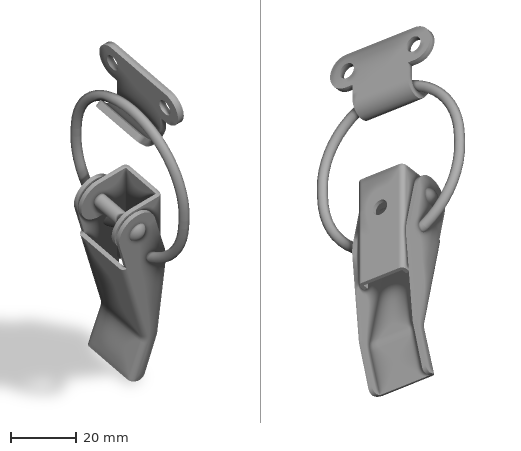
import cadquery as cq
import math


SIDE_PLANE = cq.Plane(origin=(0, 0, 0), xDir=(0, -1, 0), normal=(-1, 0, 0))

sheet = 1.5
bend_radius = 1.7
inner_bend_radius = bend_radius - sheet

pivot_depth = 11.8
pivot_z = 65.1
ear_radius = 7.2

rivet_diameter = 4.6
rivet_head_diameter = 6.3
rivet_head_height = 1.8

base_width = 17.4
base_bottom = 34.0
base_top = pivot_z + ear_radius
base_wall_depth = 3.6
base_throat_radius = 3.6
base_hole_diameter = 5.3
base_hole_z = 59.2

lever_width = 21.7
lever_lean = math.radians(13.5)
handle_kick = math.radians(20.4)
plate_top_drop = 11.9
knee_drop = 48.6
handle_length = 15.7
handle_width = 5.1
belly_depth = 0.2
belly_z = 48.2
belly_radius = 14.5
heel_depth = 4.0
heel_z = 15.8
knee_radius = 3.6
toe_radius = 2.2

wire_diameter = 3.4
loop_radius = 25.8
loop_straight = 3.3
loop_center_z = 79.0
loop_center_depth = 5.7
loop_tilt = 2.2
lower_radius = 27.8
lower_sweep = math.radians(60)
elbow_radius = 3.6
tail_length = 6.3

catch_thickness = 2.3
catch_top = 120.5
catch_height = 12.0
catch_width = 37.7
catch_hole_spacing = 25.1
catch_hole_diameter = 5.3
hook_width = 20.8
hook_radius = 4.8
hook_bottom = 98.5
lip_angle = math.radians(51)
lip_tip_depth = 11.5
lip_corner_radius = 1.8


def polar(center, radius, angle):
    return (center[0] + radius * math.cos(angle), center[1] + radius * math.sin(angle))


def shifted(point, distance, direction):
    return (point[0] + distance * direction[0], point[1] + distance * direction[1])


def mirrored(point):
    return (-point[0], point[1])


def edge_at(x, point):
    """Selector for the edge nearest to a (depth, z) point at a given x."""
    return cq.selectors.NearestToPointSelector((x, -point[0], point[1]))


def side_extrude(profile, width):
    return profile.extrude(width / 2, both=True)


pivot = (pivot_depth, pivot_z)


def make_rivet():
    half_length = lever_width / 2
    end = half_length + rivet_head_height
    shank_radius = rivet_diameter / 2
    head_radius = rivet_head_diameter / 2
    dome_radius = (head_radius**2 + rivet_head_height**2) / (2 * rivet_head_height)
    dome_center = (end - dome_radius, 0)
    dome_middle = polar(dome_center, dome_radius, math.asin(head_radius / dome_radius) / 2)
    section = (
        cq.Workplane("XY")
        .moveTo(*mirrored((end, 0)))
        .threePointArc(mirrored(dome_middle), mirrored((half_length, head_radius)))
        .lineTo(-half_length, shank_radius)
        .lineTo(half_length, shank_radius)
        .lineTo(half_length, head_radius)
        .threePointArc(dome_middle, (end, 0))
        .close()
    )
    return section.revolve(360, (0, 0, 0), (1, 0, 0)).translate((0, -pivot_depth, pivot_z))


def make_base(rivet):
    ear_bottom = pivot_z - ear_radius
    throat_center = (base_wall_depth + base_throat_radius, ear_bottom - base_throat_radius)
    profile = (
        cq.Workplane(SIDE_PLANE)
        .moveTo(0, base_bottom)
        .lineTo(0, base_top)
        .lineTo(pivot_depth, base_top)
        .threePointArc((pivot_depth + ear_radius, pivot_z), (pivot_depth, ear_bottom))
        .lineTo(throat_center[0], ear_bottom)
        .threePointArc(
            polar(throat_center, base_throat_radius, math.radians(135)),
            (base_wall_depth, throat_center[1]),
        )
        .lineTo(base_wall_depth, base_bottom)
        .close()
    )
    base = side_extrude(profile, base_width).edges("|Z and >Y").fillet(bend_radius)
    channel = (
        cq.Workplane("XY")
        .box(base_width - 2 * sheet, 2 * pivot_depth, base_top - base_bottom, centered=(True, False, False))
        .edges("|Z and >Y")
        .fillet(inner_bend_radius)
        .translate((0, -sheet - 2 * pivot_depth, base_bottom))
    )
    screw_hole = (
        cq.Workplane("XZ").center(0, base_hole_z).circle(base_hole_diameter / 2).extrude(2 * sheet)
    )
    return base.cut(channel).cut(screw_hole).cut(rivet)


def make_lever(rivet, loop):
    down_plate = (-math.sin(lever_lean), -math.cos(lever_lean))
    plate_normal = (math.cos(lever_lean), -math.sin(lever_lean))
    down_handle = (math.sin(handle_kick), -math.cos(handle_kick))
    handle_normal = (math.cos(handle_kick), math.sin(handle_kick))

    ear_front = shifted(pivot, ear_radius, plate_normal)
    ear_foot = shifted(ear_front, plate_top_drop, down_plate)
    plate_top = shifted(ear_foot, sheet, plate_normal)
    knee = shifted(shifted(ear_front, sheet, plate_normal), knee_drop, down_plate)
    tip = shifted(knee, handle_length, down_handle)

    toe = shifted(tip, -handle_width, handle_normal)
    heel = (heel_depth, heel_z)
    belly = (belly_depth, belly_z)
    to_belly = math.atan2(belly_z - pivot_z, belly_depth - pivot_depth)
    belly_distance = math.hypot(belly_z - pivot_z, belly_depth - pivot_depth)
    ear_back = polar(pivot, ear_radius, to_belly - math.acos(ear_radius / belly_distance))

    profile = (
        cq.Workplane(SIDE_PLANE)
        .moveTo(*belly)
        .lineTo(*ear_back)
        .threePointArc((pivot_depth, pivot_z + ear_radius), ear_front)
        .lineTo(*ear_foot)
        .lineTo(*plate_top)
        .lineTo(*knee)
        .lineTo(*tip)
        .lineTo(*toe)
        .lineTo(*heel)
        .close()
    )
    lever = side_extrude(profile, lever_width)
    for corner, radius in ((belly, belly_radius), (toe, toe_radius), (knee, knee_radius)):
        lever = lever.edges(edge_at(0, corner)).fillet(radius)

    plate_middle = shifted(plate_top, (knee_drop - plate_top_drop) / 2, down_plate)
    for x in (-lever_width / 2, lever_width / 2):
        bend_edge = edge_at(x, plate_middle)
        lever = lever.edges(bend_edge).fillet(bend_radius)

    knee_offset = -sheet / (1 + math.cos(lever_lean + handle_kick))
    inner_knee = shifted(shifted(knee, knee_offset, plate_normal), knee_offset, handle_normal)
    above = shifted(inner_knee, 2 * knee_drop, (-down_plate[0], -down_plate[1]))
    below = shifted(inner_knee, 2 * handle_length, down_handle)
    hollow = side_extrude(
        cq.Workplane(SIDE_PLANE).polyline(
            [above, inner_knee, below, (-pivot_depth, below[1]), (-pivot_depth, above[1])]
        ).close(),
        lever_width - 2 * sheet,
    )
    hollow = hollow.edges(edge_at(0, inner_knee))
    hollow = hollow.fillet(knee_radius + sheet)
    return lever.cut(hollow).cut(rivet).cut(loop)


def make_loop():
    plane = cq.Plane(origin=(0, -loop_center_depth, loop_center_z), xDir=(1, 0, 0), normal=(0, -1, 0))
    plane = plane.rotated((-loop_tilt, 0, 0))

    lower_center = (loop_radius - lower_radius, -loop_straight)
    lower_middle = polar(lower_center, lower_radius, -lower_sweep / 2)
    lower_end = polar(lower_center, lower_radius, -lower_sweep)
    elbow_center = polar(lower_end, elbow_radius, math.pi - lower_sweep)
    elbow_middle = (elbow_center[0], elbow_center[1] - elbow_radius)
    elbow_end = (2 * elbow_center[0] - lower_end[0], lower_end[1])
    tail_end = polar(elbow_end, tail_length, math.pi / 2 + lower_sweep)

    path = (
        cq.Workplane(plane)
        .moveTo(*tail_end)
        .lineTo(*elbow_end)
        .threePointArc(elbow_middle, lower_end)
        .threePointArc(lower_middle, (loop_radius, -loop_straight))
        .lineTo(loop_radius, 0)
        .threePointArc((0, loop_radius), (-loop_radius, 0))
        .lineTo(-loop_radius, -loop_straight)
        .threePointArc(mirrored(lower_middle), mirrored(lower_end))
        .threePointArc(mirrored(elbow_middle), mirrored(elbow_end))
        .lineTo(*mirrored(tail_end))
    )
    start = plane.toWorldCoords(tail_end)
    heading = plane.toWorldCoords(elbow_end) - start
    section = cq.Workplane(cq.Plane(origin=start, normal=heading)).circle(wire_diameter / 2)
    return section.sweep(path)


def make_catch():
    end_radius = catch_height / 2
    hole_z = catch_top - end_radius
    plate = (
        cq.Workplane("XZ")
        .center(0, hole_z)
        .slot2D(catch_width, catch_height)
        .extrude(catch_thickness)
    )
    holes = (
        cq.Workplane("XZ")
        .center(0, hole_z)
        .rarray(catch_hole_spacing, 1.2, 2, 1)
        .circle(catch_hole_diameter / 2)
        .extrude(catch_thickness)
    )

    bend = (hook_radius, hook_bottom + hook_radius)
    inner_radius = hook_radius - catch_thickness
    lip_start = lip_angle - math.pi / 2
    bend_middle = (lip_start - math.pi) / 2
    outer_lip = polar(bend, hook_radius, lip_start)
    lip_length = (lip_tip_depth - outer_lip[0]) / math.cos(lip_angle)
    outer_tip = polar(outer_lip, lip_length, lip_angle)
    inner_lip = polar(bend, inner_radius, lip_start)
    inner_tip = polar(inner_lip, lip_length, lip_angle)
    profile = (
        cq.Workplane(SIDE_PLANE)
        .moveTo(0, hole_z)
        .lineTo(0, bend[1])
        .threePointArc(polar(bend, hook_radius, bend_middle), outer_lip)
        .lineTo(*outer_tip)
        .lineTo(*inner_tip)
        .lineTo(*inner_lip)
        .threePointArc(polar(bend, inner_radius, bend_middle), (catch_thickness, bend[1]))
        .lineTo(catch_thickness, hole_z)
        .close()
    )
    hook = side_extrude(profile, hook_width)
    tip_middle = ((outer_tip[0] + inner_tip[0]) / 2, (outer_tip[1] + inner_tip[1]) / 2)
    for x in (-hook_width / 2, hook_width / 2):
        corner = edge_at(x, tip_middle)
        hook = hook.edges(corner).fillet(lip_corner_radius)
    return plate.union(hook).cut(holes)


rivet = make_rivet()
loop = make_loop()
base = make_base(rivet)
lever = make_lever(rivet, loop)
catch = make_catch()

bodies = (rivet, loop, base, lever, catch)
result = cq.Compound.makeCompound([body.solids().val() for body in bodies])